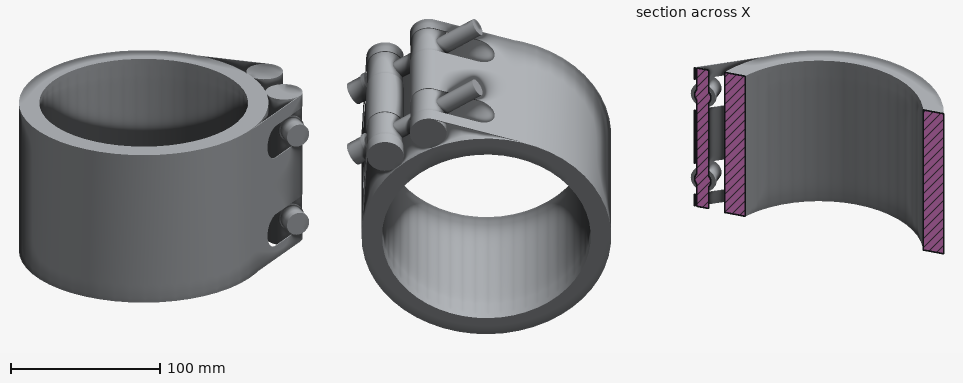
import cadquery as cq
import math

sleeve_radius = 167.5 / 2
bore_radius = 140.0 / 2
sleeve_height = 109.0
overall_depth = 190.5

band_height = 107.7
band_thickness = 0.5
barrel_radius = 24.0 / 2
loop_radius = barrel_radius + band_thickness
barrel_x = 17.7
barrel_y = overall_depth - sleeve_radius - loop_radius

slot_width = 23.5
slot_radius = slot_width / 2
slot_bottom_y = 68.0

bolt_z = 32.5
shank_radius = 12.0 / 2
shank_start_x = -57.5
washer_radius = 18.0 / 2
washer_start_x = barrel_x + barrel_radius
washer_thickness = 2.0
head_radius = 16.0 / 2
head_end_x = 43.3

barrel_distance = math.hypot(barrel_x, barrel_y)
normal_angle = math.atan2(barrel_x, barrel_y) + math.acos((sleeve_radius - loop_radius) / barrel_distance)
normal_x = math.sin(normal_angle)
normal_y = math.cos(normal_angle)


def upright_cylinder(radius, height, x, y):
    base = cq.Workplane("XY", origin=(x, y, -height / 2))
    return base.circle(radius).extrude(height)


def x_cylinder(radius, start_x, end_x, z):
    plane = cq.Workplane("YZ", origin=(start_x, barrel_y, z))
    return plane.circle(radius).extrude(end_x - start_x)


def band_half(side):
    """Straight run up from the sleeve, then over the barrel and back to the sleeve on its inner side."""
    base = cq.Workplane("XY", origin=(0, 0, -band_height / 2))

    def tangent_point(center_x, center_y, radius):
        return (side * (center_x + radius * normal_x), center_y + radius * normal_y)

    run = (
        base
        .polyline([
            tangent_point(0, 0, sleeve_radius),
            tangent_point(barrel_x, barrel_y, loop_radius),
            tangent_point(barrel_x, barrel_y, barrel_radius),
            tangent_point(0, 0, sleeve_radius - band_thickness),
        ])
        .close()
        .extrude(band_height)
    )
    loop = upright_cylinder(loop_radius, band_height, side * barrel_x, barrel_y)
    loop = loop.cut(upright_cylinder(barrel_radius, band_height, side * barrel_x, barrel_y))

    reach = 2 * loop_radius
    run_corner = (side * (barrel_x + reach * normal_x), barrel_y + reach * normal_y)
    contact_fraction = 1 - reach / barrel_distance
    contact_corner = (side * barrel_x * contact_fraction, barrel_y * contact_fraction)
    outer_corner = (run_corner[0], contact_corner[1])
    center = (side * barrel_x, barrel_y)
    opening = base.polyline([center, run_corner, outer_corner, contact_corner]).close().extrude(band_height)
    return loop.cut(opening).union(run)


def slot_cutter(side, z):
    """Slot through the band with a round lower end, cut square to the straight run."""
    end_distance = sleeve_radius * normal_y
    run_slope = normal_x
    round_center_y = slot_bottom_y + slot_radius * run_slope
    along_run = (round_center_y - end_distance) / run_slope
    center_x = side * (sleeve_radius * normal_x - along_run * normal_y)
    plane = cq.Plane(
        origin=(center_x, round_center_y, z),
        xDir=(-side * normal_y, normal_x, 0),
        normal=(side * normal_x, normal_y, 0),
    )
    slot_length = barrel_distance
    round_end = cq.Workplane(plane).circle(slot_radius).extrude(loop_radius, both=True)
    open_end = (
        cq.Workplane(plane)
        .center(slot_length / 2, 0)
        .rect(slot_length, slot_width)
        .extrude(2 * loop_radius + band_thickness, both=True)
    )
    return round_end.union(open_end)


def bolt(z):
    washer_end_x = washer_start_x + washer_thickness
    shank = x_cylinder(shank_radius, shank_start_x, head_end_x, z)
    washer = x_cylinder(washer_radius, washer_start_x, washer_end_x, z)
    head = x_cylinder(head_radius, washer_end_x, head_end_x, z)
    return shank.union(washer).union(head)


result = upright_cylinder(sleeve_radius, sleeve_height, 0, 0)
for side in (-1, 1):
    band = band_half(side)
    for z in (-bolt_z, bolt_z):
        band = band.cut(slot_cutter(side, z))
    barrel = upright_cylinder(barrel_radius, band_height, side * barrel_x, barrel_y)
    result = result.union(band).union(barrel)
for z in (-bolt_z, bolt_z):
    result = result.union(bolt(z))
result = result.cut(upright_cylinder(bore_radius, sleeve_height, 0, 0))